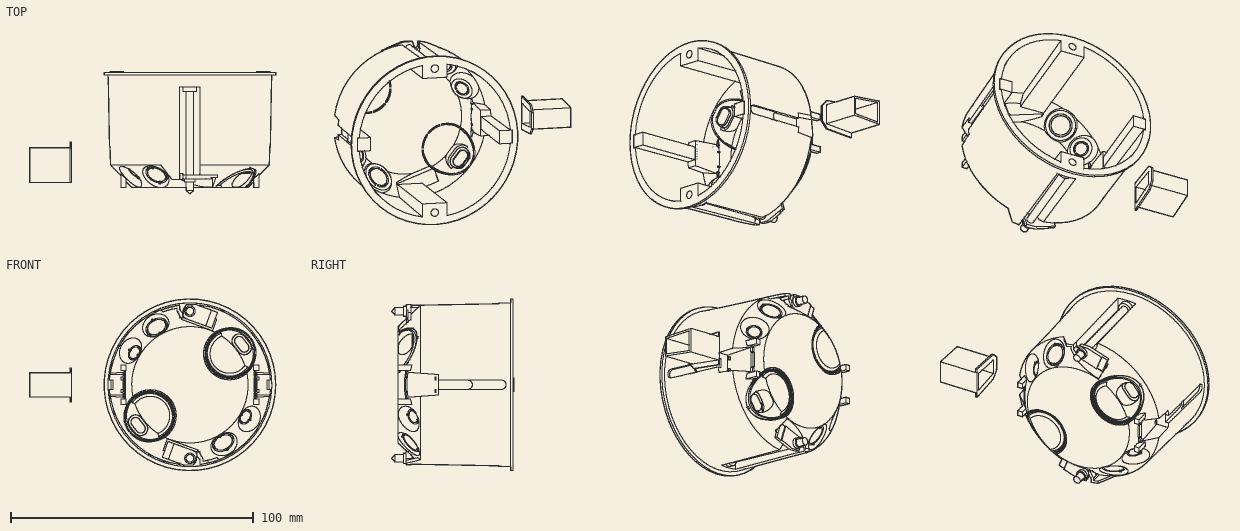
import cadquery as cq
import math


flange_radius = 35.4
flange_thickness = 1.1
rim_radius = 33.8
shoulder_radius = 33.1
floor_radius = 24.0
shoulder_y = -38.2
floor_y = -47.5
wall = 1.5
cone_run = shoulder_radius - floor_radius
cone_rise = shoulder_y - floor_y
cone_mid_radius = (shoulder_radius + floor_radius) / 2
cone_mid_y = (shoulder_y + floor_y) / 2
beyond = 20.0

cup_inset = 0.3
cup_lip = 0.8
cup_tie_width = 0.8
cup_peg_height = 0.5
large_cup = dict(angle=120, depth=1.2, mouth=12.5, pad=8.0, hole=9.4)
small_cup = dict(angle=150, depth=2.7, mouth=11.9, pad=5.2, hole=6.4)

knockout_angle = 38
knockout_radius = 20.7
groove_outer = 10.7
groove_inner = 8.0
groove_depth = 0.9
groove_bottom_outer = 9.9
groove_bottom_inner = 9.2
cone_groove_inner = 9.8
cone_groove_depth = 0.6
slit_offset = 0.75
slit_outer = 10.25
slit_inner = 9.8
knockout_tie_width = 0.8
knockout_tie_angles = [0, 180 - knockout_angle, 180, 180 + knockout_angle]

oval_radius = 27.1
tunnel_length = 9.2
tunnel_width = 5.8
tunnel_wall = 1.0
tunnel_top_y = -41.6
plug_gap = 0.95
plug_length = tunnel_length - 2 * plug_gap
plug_width = tunnel_width - 2 * plug_gap
plug_thickness = 1.0
plug_tilt = 15
plug_y = -40.3

screw_z = 30.3
screw_radius = 1.58
screw_tip_y = -50.1
screw_tip_length = 1.4
channel_top_y = -6.0
channel_left = -4.2
channel_right = 4.1
channel_floor_z = 27.5
channel_wall = 1.1
channel_round = 2.2
head_seat_radius = 2.8
head_seat_end_y = -7.9
skirt_bottom_y = -44.2
skirt_start_x = -12.0
skirt_end_x = -7.4
web_top_y = -41.6
web_outline = [
    (channel_left - channel_wall, 32.5),
    (channel_left - channel_wall, 30.3),
    (-3.4, 27.2),
    (-3.0, 27.8),
    (-2.95, 29.4),
    (-4.1, 30.9),
    (channel_left, 32.5),
]

plate_turn = -20
plate_start = -2.4
plate_step = 8.2
plate_end = 10.85
plate_half_width = 3.45
plate_top_y = -42.2
plate_thickness = 1.7
plate_end_thickness = 1.2
plate_corner = 2.0
plate_collar_radius = 2.15
plate_collar_end_y = -45.2
seat_start = -2.0
seat_end = 11.5
seat_edge = -4.35

pocket_back_x = 27.6
pocket_top_y = -30.7
pocket_top_half = 4.2
pocket_draft = 0.075
pocket_membrane = 0.55
pocket_wall = 1.2
rib_half = 2.75
rib_inner_x = 27.4
rib_outer_x = 32.9
rib_proud = 0.3
groove_half = 1.9
groove_top_y = -2.9
groove_step_y = -16.8
groove_shallow_x = 32.6
groove_deep_x = 31.7
foot_inner_x = 26.3
foot_outer_x = 28.5
foot_inner_z = 5.8
foot_outer_z = 8.2
foot_root_y = -41.5
release_width = 0.45
release_half = 5.4
release_tie_z = 3.2
release_tie_width = 0.5
nub_inner_z = 1.9
nub_outer_z = 3.2
nub_height = 0.8
nub_thickness = 0.6
nub_y = -31.7

sleeve_left_x = flange_radius - 101.43
sleeve_right_x = -48.7
sleeve_collar_thickness = 0.7
sleeve_collar_outline = [(-28.6, 3.2), (-31.5, 6.1), (-45.4, 7.0)]
sleeve_outline = [(-31.0, 4.1), (-45.4, 5.05)]
sleeve_bore_outline = [(-31.6, 3.3), (-44.2, 4.2)]


def revolved(points):
    """Solid turned about the Y axis from (radius, y) points."""
    half_section = [(y, radius) for radius, y in points]
    return cq.Workplane("YZ").polyline(half_section).close().revolve(360, (0, 0), (1, 0))


def block(x_range, y_range, z_range):
    """Axis-aligned box between the given limits."""
    size = [abs(b - a) for a, b in (x_range, y_range, z_range)]
    corner = [min(limits) for limits in (x_range, y_range, z_range)]
    return cq.Workplane("XY").box(*size, centered=False).translate(tuple(corner))


def around(shape, angle):
    """Turn a shape about the Y axis, from +X towards +Z."""
    return shape.rotate((0, 0, 0), (0, 1, 0), -angle)


def both_sides(shape):
    """The shape and its copy half a turn around the box."""
    return [around(shape, angle) for angle in (0, 180)]


def sketch(y):
    """Workplane facing -Y at the given height; its axes are X and Z."""
    return cq.Workplane("XZ", origin=(0, y, 0))


def mirrored_outline(points):
    """(y, z) outline closed by its mirror image below Z = 0."""
    return points + [(y, -z) for y, z in reversed(points)]


def shell_profile(inset):
    """(radius, y) corners of the wall and floor, moved inwards by inset."""
    corner_shift = inset * math.tan(math.atan2(cone_rise, cone_run) / 2)
    return [
        (0, floor_y + inset),
        (floor_radius - corner_shift, floor_y + inset),
        (shoulder_radius - inset, shoulder_y + corner_shift),
        (rim_radius - inset, 0),
        (0, 0),
    ]


def outer_form(inset=0):
    return revolved(shell_profile(inset))


def cup_frame(angle):
    turn = math.radians(angle)
    lean = math.atan2(cone_rise, cone_run)
    origin = (cone_mid_radius * math.cos(turn), cone_mid_y, cone_mid_radius * math.sin(turn))
    normal = (math.sin(lean) * math.cos(turn), -math.cos(lean), math.sin(lean) * math.sin(turn))
    outward = (math.cos(lean) * math.cos(turn), math.sin(lean), math.cos(lean) * math.sin(turn))
    return cq.Workplane(cq.Plane(origin=origin, xDir=outward, normal=normal)).center(-cup_inset, 0)


def cup_cone(cup, extra_radius, extra_depth):
    mouth = cup["mouth"] / 2
    slope = (mouth - cup["hole"] / 2) / cup["depth"]
    return (
        cup_frame(cup["angle"])
        .workplane(offset=-cup["depth"] - extra_depth)
        .circle(cup["hole"] / 2 + extra_radius)
        .workplane(offset=cup["depth"] + extra_depth + cup_lip)
        .circle(mouth + slope * cup_lip + extra_radius)
        .loft()
    )


def cup_slit(cup):
    frame = cup_frame(cup["angle"]).workplane(offset=-cup["depth"] - 2 * wall)
    ring = frame.circle(cup["hole"] / 2).circle(cup["pad"] / 2).extrude(2 * wall)
    tie = frame.rect(cup["hole"] + wall, cup_tie_width).extrude(2 * wall)
    return ring.cut(tie)


def cup_pegs(cup):
    reach = (cup["pad"] + cup["hole"]) / 4
    floor = cup_frame(cup["angle"]).workplane(offset=-cup["depth"] - wall / 2)
    pegs = floor.pushPoints([(-reach, 0), (reach, 0)])
    return pegs.circle(cup_tie_width / 2).extrude(wall / 2 + cup_peg_height)


def knockout_groove():
    """V groove in the flat floor, continued as a shallow step across the cone."""
    vee = revolved([
        (groove_inner, floor_y),
        (groove_bottom_inner, floor_y + groove_depth),
        (groove_bottom_outer, floor_y + groove_depth),
        (groove_outer, floor_y),
    ]).translate((knockout_radius, 0, 0))
    ring = (
        sketch(shoulder_y)
        .center(knockout_radius, 0)
        .circle(groove_outer)
        .circle(cone_groove_inner)
        .extrude(beyond)
    )
    step = ring.cut(outer_form(cone_groove_depth))
    return around(vee.union(step), knockout_angle)


def knockout_slit():
    base = sketch(shoulder_y).center(knockout_radius + slit_offset, 0)
    ring = base.circle(slit_outer).circle(slit_inner).extrude(beyond)
    for angle in knockout_tie_angles:
        tie = (
            base.transformed(rotate=(0, 0, angle))
            .center(slit_outer, 0)
            .rect(2 * wall, knockout_tie_width)
            .extrude(beyond)
        )
        ring = ring.cut(tie)
    return around(ring, knockout_angle)


def oval(length, width, y, height):
    """Upright oval whose long side runs around the box."""
    shape = sketch(y).center(oval_radius, 0).slot2D(length, width, 90).extrude(height)
    return around(shape, knockout_angle)


def oval_plug():
    plug = sketch(plug_y).center(oval_radius, 0).slot2D(plug_length, plug_width, 90).extrude(beyond)
    slab = (
        cq.Workplane("XY")
        .box(beyond, plug_thickness, beyond)
        .rotate((0, 0, 0), (0, 0, 1), plug_tilt)
        .translate((oval_radius, plug_y, 0))
    )
    tall = plug.translate((0, beyond / 2, 0))
    return around(tall.intersect(slab), knockout_angle)


def channel_block():
    return block(
        (channel_left - channel_wall, channel_right + channel_wall),
        (0, floor_y),
        (channel_floor_z - channel_wall, rim_radius),
    )


def channel_cut():
    cut = block((channel_left, channel_right), (channel_top_y, floor_y), (channel_floor_z, flange_radius))
    cut = cut.edges("|Y").edges(">X").edges("<Z").fillet(channel_round)
    head_seat = (
        sketch(channel_top_y).center(0, screw_z).circle(head_seat_radius).extrude(channel_top_y - head_seat_end_y)
    )
    bore = sketch(flange_thickness).center(0, screw_z).circle(screw_radius).extrude(beyond)
    return cut.cut(head_seat).union(bore)


def skirt():
    """Wall left of the channel that carries on straight below the shoulder."""
    outline = [
        (skirt_start_x, shoulder_y + wall),
        (skirt_start_x, shoulder_y),
        (skirt_end_x, skirt_bottom_y),
        (channel_left, skirt_bottom_y),
        (channel_left, shoulder_y + wall),
    ]
    sheet = cq.Workplane("XY").polyline(outline).close().extrude(flange_radius)
    ring = (
        sketch(shoulder_y + wall).circle(shoulder_radius).circle(shoulder_radius - channel_wall).extrude(beyond)
    )
    side = block(
        (channel_left - channel_wall, channel_left),
        (shoulder_y, skirt_bottom_y),
        (web_outline[1][1], shoulder_radius),
    )
    disc = sketch(0).circle(shoulder_radius).extrude(-floor_y)
    return sheet.intersect(ring).union(side.intersect(disc))


def channel_corner():
    """Bent web that closes the left side of the channel around the end of the clamp plate."""
    return sketch(web_top_y).polyline(web_outline).close().extrude(web_top_y - skirt_bottom_y)


def turned_block(u_range, y_range, v_range):
    """Box whose u and v limits are measured from the screw along and across the plate."""
    flat = block(u_range, y_range, v_range)
    return around(flat, plate_turn).translate((0, 0, screw_z))


def plate_seat_block():
    return turned_block(
        (seat_start - wall, seat_end + wall), (plate_top_y + wall, floor_y), (seat_edge - wall, beyond)
    )


def plate_seat_cut():
    return turned_block((seat_start, seat_end), (plate_top_y, floor_y - wall), (seat_edge, beyond))


def clamp_plate():
    width = (-plate_half_width, plate_half_width)
    main = turned_block((plate_start, plate_step), (plate_top_y, plate_top_y - plate_thickness), width)
    end = turned_block((plate_step, plate_end), (plate_top_y, plate_top_y - plate_end_thickness), width)
    limit = sketch(0).circle(shoulder_radius).extrude(-floor_y)
    collar = (
        sketch(plate_top_y).center(0, screw_z).circle(plate_collar_radius).extrude(plate_top_y - plate_collar_end_y)
    )
    bore = sketch(0).center(0, screw_z).circle(screw_radius).extrude(-floor_y)
    rounded = main.edges("|Y").edges("<X").fillet(plate_corner)
    return rounded.union(end).intersect(limit).union(collar).cut(bore)


def screw():
    shank = [
        (0, 0),
        (screw_radius, 0),
        (screw_radius, screw_tip_y + screw_tip_length),
        (0, screw_tip_y),
    ]
    return revolved(shank).translate((0, 0, screw_z))


def pocket_prism(back_x, top_y, margin):
    bottom_y = floor_y - pocket_wall
    bottom_half = pocket_top_half + pocket_draft * (pocket_top_y - bottom_y)
    outline = mirrored_outline([(top_y, pocket_top_half + margin), (bottom_y, bottom_half + margin)])
    return cq.Workplane("YZ", origin=(back_x, 0, 0)).polyline(outline).close().extrude(flange_radius - back_x)


def pocket_block():
    return pocket_prism(pocket_back_x - pocket_membrane, pocket_top_y + pocket_wall, pocket_wall)


def rib():
    return block((rib_inner_x, rib_outer_x), (rib_proud, pocket_top_y + pocket_wall / 2), (-rib_half, rib_half))


def side_groove(top_y, bottom_x):
    end_y = top_y - groove_half
    plane = cq.Workplane("YZ", origin=(bottom_x, 0, 0))
    rounded_end = plane.center(end_y, 0).circle(groove_half).extrude(beyond)
    straight = block(
        (bottom_x, bottom_x + beyond), (end_y, pocket_top_y - pocket_wall), (-groove_half, groove_half)
    )
    return straight.union(rounded_end)


def release_slit():
    inner_x = pocket_back_x - pocket_membrane - release_width
    x_range = (inner_x, inner_x + release_width)
    slit = block(x_range, (shoulder_y, floor_y), (-release_half, release_half))
    for z in (-release_tie_z, release_tie_z):
        half = release_tie_width / 2
        slit = slit.cut(block(x_range, (shoulder_y, floor_y), (z - half, z + half)))
    return slit


def feet_and_nubs():
    parts = []
    for side in (-1, 1):
        parts.append(block(
            (foot_inner_x, foot_outer_x), (foot_root_y, floor_y), (side * foot_inner_z, side * foot_outer_z)
        ))
        parts.append(block(
            (pocket_back_x - pocket_membrane / 2, pocket_back_x + nub_height),
            (nub_y, nub_y - nub_thickness),
            (side * nub_inner_z, side * nub_outer_z),
        ))
    return parts


def housing():
    form = outer_form()
    cups = [large_cup, small_cup]

    tunnel_block = oval(
        tunnel_length + 2 * tunnel_wall, tunnel_width + 2 * tunnel_wall, tunnel_top_y, tunnel_top_y - floor_y
    )
    inside = [channel_block(), plate_seat_block(), pocket_block(), tunnel_block]
    inside += [cup_cone(cup, wall, wall) for cup in cups]
    body = form.cut(outer_form(wall))
    body = body.cut(sketch(wall).circle(rim_radius - wall).extrude(wall))
    for part in inside:
        for copy in both_sides(part.intersect(form)):
            body = body.union(copy)

    flange = sketch(0).circle(flange_radius).circle(rim_radius - wall).extrude(flange_thickness)
    body = body.union(flange)
    for part in (rib(), skirt()):
        for copy in both_sides(part):
            body = body.union(copy)

    cuts = [channel_cut(), plate_seat_cut(), pocket_prism(pocket_back_x, pocket_top_y, 0)]
    cuts += [side_groove(groove_top_y, groove_shallow_x), side_groove(groove_step_y, groove_deep_x)]
    cuts += [cup_cone(cup, 0, 0) for cup in cups]
    cuts += [cup_slit(cup) for cup in cups]
    cuts += [knockout_groove(), knockout_slit(), release_slit()]
    cuts.append(oval(tunnel_length, tunnel_width, shoulder_y, beyond))
    for tool in cuts:
        for copy in both_sides(tool):
            body = body.cut(copy)

    late_parts = feet_and_nubs() + [channel_corner()] + [cup_pegs(cup) for cup in cups]
    for part in late_parts:
        for copy in both_sides(part):
            body = body.union(copy)
    return body


def sleeve():
    def prism(outline, left_x):
        plane = cq.Workplane("YZ", origin=(left_x, 0, 0))
        return plane.polyline(mirrored_outline(outline)).close().extrude(sleeve_right_x - left_x)

    collar = prism(sleeve_collar_outline, sleeve_right_x - sleeve_collar_thickness)
    tube = prism(sleeve_outline, sleeve_left_x)
    return tube.union(collar).cut(prism(sleeve_bore_outline, sleeve_left_x))


bodies = [*housing().vals()]
for make_body in (screw, clamp_plate, oval_plug):
    for copy in both_sides(make_body()):
        bodies.extend(copy.vals())
bodies.extend(sleeve().vals())
result = cq.Compound.makeCompound(bodies)